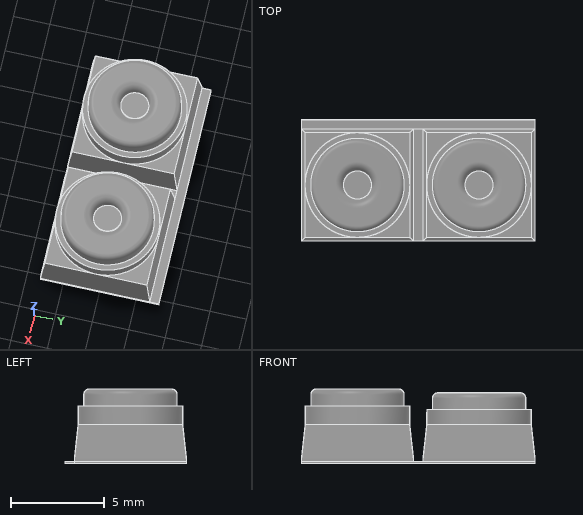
import cadquery as cq

base_length = 12.5
base_depth = 6.0
strip_depth = 0.5
base_thickness = 0.12

housing_width = base_depth
foot_height = 0.15
housing_top_z = 2.1
taper_inset = 0.2
housing_top_width = housing_width - 2 * taper_inset
collar_diameter = housing_top_width
housing_spacing = base_length - housing_width

cap_diameter = 5.0
cap_height = 0.9
cap_edge_radius = 0.3
dish_floor_diameter = 1.5
dish_depth = 0.5
dish_mouth_diameter = dish_floor_diameter + 2 * dish_depth

units = [
    (-housing_spacing / 2, 1.0),
    (housing_spacing / 2, 0.8),
]


def make_base_slab(depth, front_y):
    """Slab of the base, reaching back from front_y."""
    return (
        cq.Workplane("XY")
        .box(base_length, depth, base_thickness, centered=(True, False, False))
        .translate((0, front_y, 0))
    )


def make_housing(center_x, collar_height):
    """Straight foot, tapered block and round collar as one solid."""
    foot_top_z = base_thickness + foot_height
    foot = (
        cq.Workplane("XY", origin=(center_x, 0, base_thickness))
        .rect(housing_width, housing_width)
        .extrude(foot_height)
    )
    block = (
        cq.Workplane("XY", origin=(center_x, 0, foot_top_z))
        .rect(housing_width, housing_width)
        .workplane(offset=housing_top_z - foot_top_z)
        .rect(housing_top_width, housing_top_width)
        .loft(ruled=True)
    )
    collar = (
        cq.Workplane("XY", origin=(center_x, 0, housing_top_z))
        .circle(collar_diameter / 2)
        .extrude(collar_height)
    )
    return foot.union(block).union(collar)


def make_cap(center_x, seat_z):
    """Button with a rounded rim and a central dish with a flared wall."""
    cap_radius = cap_diameter / 2
    mouth_radius = dish_mouth_diameter / 2
    floor_radius = dish_floor_diameter / 2
    floor_z = cap_height - dish_depth
    half_profile = (
        cq.Workplane("XZ")
        .lineTo(cap_radius, 0)
        .lineTo(cap_radius, cap_height - cap_edge_radius)
        .radiusArc((cap_radius - cap_edge_radius, cap_height), -cap_edge_radius)
        .lineTo(mouth_radius, cap_height)
        .radiusArc((floor_radius, floor_z), -dish_depth)
        .lineTo(0, floor_z)
        .close()
    )
    return half_profile.revolve(360, (0, 0, 0), (0, 1, 0)).translate((center_x, 0, seat_z))


base_plate = make_base_slab(base_depth, -base_depth / 2)
back_strip = make_base_slab(strip_depth, base_depth / 2)

housings = []
caps = []
for unit_x, collar_height in units:
    housings.append(make_housing(unit_x, collar_height))
    caps.append(make_cap(unit_x, housing_top_z + collar_height))

result = cq.Compound.makeCompound([
    base_plate.val(),
    back_strip.val(),
    *[housing.val() for housing in housings],
    *[cap.val() for cap in caps],
])